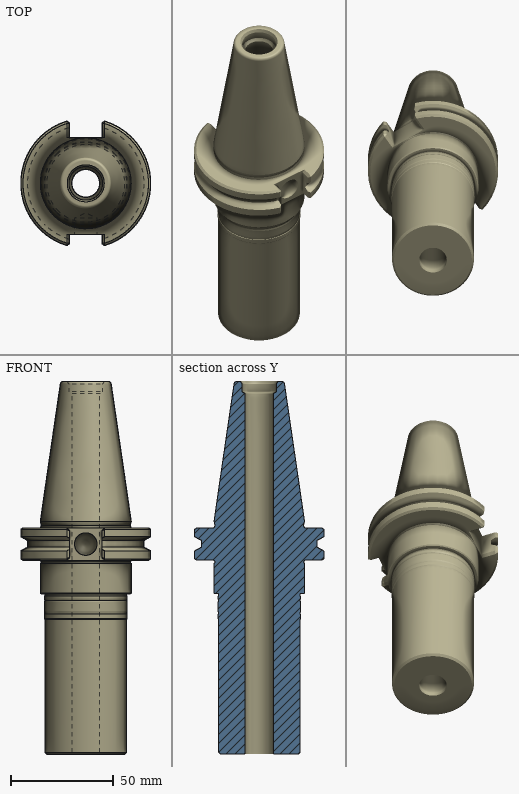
import cadquery as cq
import math


gauge_diameter = 44.45
cone_length = 68.4
cone_taper = 7 / 24
cone_tip_fillet = 1.5

flange_diameter = 63.55
flange_top_z = -3.2
flange_bottom_z = -19.1
flange_chamfer_height = 0.8
flange_chamfer_width = 1.1
grip_center_z = -11.0
grip_floor_diameter = 56.9
grip_floor_width = 3.25
grip_mouth_width = 6.9

relief_depth = 0.5
upper_relief_z = -2.1
lower_relief_z = -19.9

collar_top_z = -20.7
collar_bottom_z = -35.5
collar_chamfer = 0.5

total_length = 182.25
body_diameter = 40.0
body_end_chamfer = 1.0
band_diameter = 40.5
upper_band_top_z = -36.6
upper_band_bottom_z = -43.9
upper_band_taper = 1.2
band_groove_z = -38.6
band_groove_width = 1.6
lower_band_top_z = -45.4
lower_band_bottom_z = -47.6
lower_band_taper = 0.4

slot_width = 16.1
slot_chamfer = 1.2
front_slot_floor = 25.0
back_slot_floor = 22.3

match_tolerance = 0.001

dimple_diameter = 11.0
dimple_depth = 8.0
dimple_tip_angle = 130.0

bore_diameter = 13.53
mouth_diameter = 16.5
mouth_depth = 5.1
mouth_chamfer_width = 0.8
mouth_chamfer_angle = 60.0
mouth_cone_angle = 118.0

gauge_radius = gauge_diameter / 2
flange_radius = flange_diameter / 2
body_radius = body_diameter / 2
band_radius = band_diameter / 2
bottom_z = cone_length - total_length
flange_thickness = flange_top_z - flange_bottom_z
flange_middle_z = (flange_top_z + flange_bottom_z) / 2


def revolve_about_z(outline):
    """Solid of revolution about Z from (radius, z) points."""
    return cq.Workplane("XZ").polyline(outline).close().revolve(360, (0, 0), (0, 1))


def cone_height(wide_radius, narrow_radius, full_angle):
    """Height of a cone with the given full angle between two radii."""
    return (wide_radius - narrow_radius) / math.tan(math.radians(full_angle / 2))


def make_cone():
    """Tapered shank with a rounded tip and the relief above the flange."""
    tip_radius = gauge_radius - cone_length * cone_taper / 2
    cone = revolve_about_z([
        (0, cone_length),
        (tip_radius, cone_length),
        (gauge_radius, 0),
        (gauge_radius - relief_depth, upper_relief_z),
        (gauge_radius, flange_top_z),
        (0, flange_top_z),
    ])
    return cone.faces(">Z").edges().fillet(cone_tip_fillet)


def make_slot(floor_distance, side):
    """Slot block through the flange, on the side of Y given by the sign."""
    depth = flange_radius - floor_distance
    center_y = side * (floor_distance + depth / 2)
    slot = cq.Workplane("XY").box(slot_width, depth, flange_thickness)
    return slot.translate((0, center_y, flange_middle_z))


def slot_rim_edges(flange):
    """Edges around the two side walls of each slot, without those at the slot floors."""
    rim = []
    for edge in flange.edges().vals():
        box = edge.BoundingBox()
        on_wall = box.xlen < match_tolerance and abs(abs(box.center.x) - slot_width / 2) < match_tolerance
        at_corner = box.zlen > flange_thickness - match_tolerance
        if on_wall and not at_corner:
            rim.append(edge)
    return rim


def make_flange():
    """Flange disc with chamfered rims, two chamfered driving slots and the grip groove."""
    rim_radius = flange_radius - flange_chamfer_width
    disc = revolve_about_z([
        (0, flange_top_z),
        (rim_radius, flange_top_z),
        (flange_radius, flange_top_z - flange_chamfer_height),
        (flange_radius, flange_bottom_z + flange_chamfer_height),
        (rim_radius, flange_bottom_z),
        (0, flange_bottom_z),
    ])
    flange = disc.cut(make_slot(front_slot_floor, -1)).cut(make_slot(back_slot_floor, 1))
    flange = flange.newObject(slot_rim_edges(flange)).chamfer(slot_chamfer)

    grip_radius = grip_floor_diameter / 2
    groove = revolve_about_z([
        (flange_radius, grip_center_z + grip_mouth_width / 2),
        (grip_radius, grip_center_z + grip_floor_width / 2),
        (grip_radius, grip_center_z - grip_floor_width / 2),
        (flange_radius, grip_center_z - grip_mouth_width / 2),
    ])
    return flange.cut(groove)


def make_body():
    """Collar and cylindrical body with raised bands below the flange."""
    return revolve_about_z([
        (0, flange_bottom_z),
        (gauge_radius, flange_bottom_z),
        (gauge_radius - relief_depth, lower_relief_z),
        (gauge_radius, collar_top_z),
        (gauge_radius, collar_bottom_z + collar_chamfer),
        (gauge_radius - collar_chamfer, collar_bottom_z),
        (body_radius, collar_bottom_z),
        (body_radius, upper_band_top_z),
        (band_radius, upper_band_top_z),
        (band_radius, band_groove_z + band_groove_width / 2),
        (body_radius, band_groove_z),
        (band_radius, band_groove_z - band_groove_width / 2),
        (band_radius, upper_band_bottom_z),
        (body_radius, upper_band_bottom_z - upper_band_taper),
        (body_radius, lower_band_top_z),
        (band_radius, lower_band_top_z),
        (band_radius, lower_band_bottom_z),
        (body_radius, lower_band_bottom_z - lower_band_taper),
        (body_radius, bottom_z + body_end_chamfer),
        (body_radius - body_end_chamfer, bottom_z),
        (0, bottom_z),
    ])


def make_dimple():
    """Blind hole with a conical end, drilled toward +Y from the front slot floor."""
    radius = dimple_diameter / 2
    wall_end_y = -front_slot_floor + dimple_depth
    tip_y = wall_end_y + cone_height(radius, 0, dimple_tip_angle)
    outline = [
        (0, -front_slot_floor),
        (radius, -front_slot_floor),
        (radius, wall_end_y),
        (0, tip_y),
    ]
    dimple = cq.Workplane("XY").polyline(outline).close().revolve(360, (0, 0), (0, 1))
    return dimple.translate((0, 0, flange_middle_z))


def make_bore():
    """Through bore with a wider, chamfered mouth at the cone tip that narrows in a cone."""
    bore_radius = bore_diameter / 2
    mouth_radius = mouth_diameter / 2
    rim_radius = mouth_radius + mouth_chamfer_width
    mouth_end_z = cone_length - mouth_depth
    return revolve_about_z([
        (0, cone_length),
        (rim_radius, cone_length),
        (mouth_radius, cone_length - cone_height(rim_radius, mouth_radius, mouth_chamfer_angle)),
        (mouth_radius, mouth_end_z),
        (bore_radius, mouth_end_z - cone_height(mouth_radius, bore_radius, mouth_cone_angle)),
        (bore_radius, bottom_z),
        (0, bottom_z),
    ])


result = make_cone().union(make_flange()).union(make_body())
result = result.cut(make_dimple()).cut(make_bore())